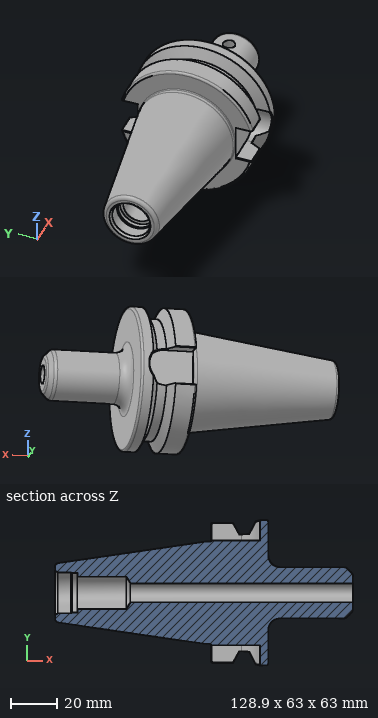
import cadquery as cq
import math

total_length = 128.9

gauge_x = 65.4
gauge_radius = 44.5 / 2
taper_ratio = 7 / 24
small_end_radius = gauge_radius - gauge_x * taper_ratio / 2
small_end_fillet = 1.8
neck_fillet = 0.4

flange_start = 67.4
flange_end = 92.3
flange_radius = 63.0 / 2
flange_fillet = 1.0
groove_center = 81.9
groove_floor_width = 4.3
groove_floor_radius = 26.5
groove_side_angle = 30.0

shank_radius = 22.3 / 2
shank_root_fillet = 5.0
tip_chamfer = 3.2
tip_fillet = 2.0
tip_rim_fillet = 2.0

slot_width = 16.1
slot_end = 88.5
slot_floor_y = 22.7
slot_edge_chamfer = 0.4

through_radius = 4.0
thread_radius = 13.8 / 2
thread_depth = 31.0
drill_tip_angle = 118.0
pilot_radius = 8.8
pilot_depth = 6.8
counterbore_radius = 8.5
counterbore_start = 7.6
counterbore_depth = 9.8
mouth_radius = 9.5
mouth_half_angle = 30.0

cross_hole_x = 117.7
cross_hole_radius = 2.7


def revolve_about_axis(points):
    """Revolve a closed (x, radius) outline about the X axis."""
    return cq.Workplane("XY").polyline(points).close().revolve(360, (0, 0, 0), (1, 0, 0))


def fillet_circle(body, x, radius, fillet):
    """Fillet the circular edge found at the given place along the axis."""
    tolerance = 0.01
    reach = 2 * radius
    selector = cq.selectors.BoxSelector(
        (x - tolerance, -reach, -reach),
        (x + tolerance, reach, reach),
        boundingbox=True,
    )
    circle = body.edges(selector).filter(lambda edge: abs(edge.radius() - radius) < tolerance)
    return circle.fillet(fillet)


def groove_half_width_at_rim():
    groove_depth = flange_radius - groove_floor_radius
    return groove_floor_width / 2 + groove_depth * math.tan(math.radians(groove_side_angle))


def make_body():
    groove_half_floor = groove_floor_width / 2
    groove_half_top = groove_half_width_at_rim()
    chamfer_x = total_length - tip_chamfer
    tip_radius = shank_radius - tip_chamfer
    body = revolve_about_axis([
        (0, 0),
        (0, small_end_radius),
        (gauge_x, gauge_radius),
        (flange_start, gauge_radius),
        (flange_start, flange_radius),
        (groove_center - groove_half_top, flange_radius),
        (groove_center - groove_half_floor, groove_floor_radius),
        (groove_center + groove_half_floor, groove_floor_radius),
        (groove_center + groove_half_top, flange_radius),
        (flange_end, flange_radius),
        (flange_end, shank_radius),
        (chamfer_x, shank_radius),
        (total_length, tip_radius),
        (total_length, 0),
    ])
    rounded_circles = [
        (0, small_end_radius, small_end_fillet),
        (flange_start, gauge_radius, neck_fillet),
        (flange_start, flange_radius, flange_fillet),
        (flange_end, flange_radius, flange_fillet),
        (flange_end, shank_radius, shank_root_fillet),
        (chamfer_x, shank_radius, tip_fillet),
        (total_length, tip_radius, tip_rim_fillet),
    ]
    for x, radius, fillet in rounded_circles:
        body = fillet_circle(body, x, radius, fillet)
    return body


def make_slot_cutter():
    """Round-ended slot on the +Y side, open toward the taper."""
    half_width = slot_width / 2
    arc_center_x = slot_end - half_width
    return (
        cq.Workplane("XZ", origin=(0, slot_floor_y, 0))
        .moveTo(flange_start, -half_width)
        .lineTo(arc_center_x, -half_width)
        .threePointArc((slot_end, 0), (arc_center_x, half_width))
        .lineTo(flange_start, half_width)
        .close()
        .extrude(-flange_radius)
    )


def make_bores():
    mouth_depth = (mouth_radius - pilot_radius) / math.tan(math.radians(mouth_half_angle))
    cone_length = (thread_radius - through_radius) / math.tan(math.radians(drill_tip_angle / 2))
    return revolve_about_axis([
        (0, 0),
        (0, mouth_radius),
        (mouth_depth, pilot_radius),
        (pilot_depth, pilot_radius),
        (counterbore_start, counterbore_radius),
        (counterbore_depth, counterbore_radius),
        (counterbore_depth, thread_radius),
        (thread_depth, thread_radius),
        (thread_depth + cone_length, through_radius),
        (total_length, through_radius),
        (total_length, 0),
    ])


def make_cross_hole():
    return (
        cq.Workplane("XY")
        .center(cross_hole_x, 0)
        .circle(cross_hole_radius)
        .extrude(shank_radius)
    )


def chamfer_slot_edges(body):
    """Break the outer edges of both slots, leaving the edges inside the V-groove sharp."""
    half_width = slot_width / 2
    tolerance = 0.03
    groove_half_top = groove_half_width_at_rim()

    def is_outer_slot_edge(edge):
        center = edge.Center()
        above_floor = abs(center.y) > slot_floor_y + tolerance
        along_wall = (
            center.x < groove_center - groove_half_top
            and abs(abs(center.z) - half_width) < tolerance
        )
        around_end = (
            groove_center + groove_half_top < center.x < slot_end
            and abs(center.z) < half_width
        )
        return above_floor and (along_wall or around_end)

    return body.edges().filter(is_outer_slot_edge).chamfer(slot_edge_chamfer)


slot_cutter = make_slot_cutter()
result = make_body().cut(slot_cutter).cut(slot_cutter.mirror("XZ"))
result = chamfer_slot_edges(result)
result = result.cut(make_bores()).cut(make_cross_hole())